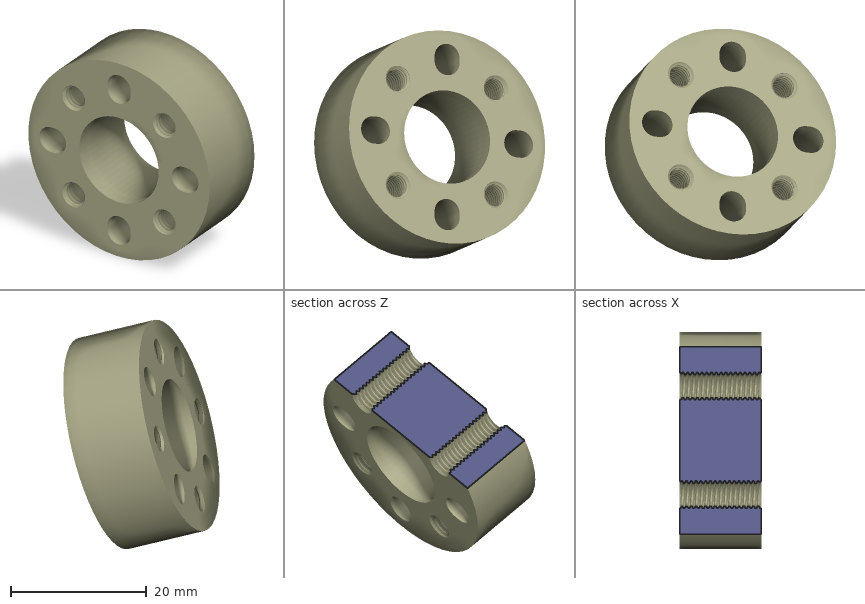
import cadquery as cq
outer_diameter = 31.95
thickness = 12.0
bore_diameter = 14.0

slot_count = 4
slot_width = 4.1
slot_length = 4.7
slot_circle_radius = 11.65

tapped_hole_count = 4
tapped_hole_spacing = 15.98
thread_major_diameter = 4.0
thread_minor_diameter = 3.3
thread_pitch = 0.7
thread_start_angle = 115.0
groove_mouth_width = thread_pitch * 3 / 4
groove_root_width = thread_pitch / 8
drill_overrun = 0.32
groove_overlap = 0.05
countersink_diameter = 4.03
sleeve_diameter = 4.8


def cylinder(diameter, length=thickness):
    """Cylinder along Y, centred on the origin."""
    return cq.Workplane("XZ", origin=(0, length / 2, 0)).circle(diameter / 2).extrude(length)


def make_slots():
    """Through slots, each with its long side along the radius."""
    return (
        cq.Workplane("XZ", origin=(0, thickness / 2, 0))
        .polarArray(slot_circle_radius, 0, 360, slot_count)
        .slot2D(slot_length, slot_width)
        .extrude(thickness)
    )


def make_thread_groove():
    """Right-hand helical groove along Y that runs one pitch past both faces."""
    minor_radius = thread_minor_diameter / 2
    major_radius = thread_major_diameter / 2
    flank_slope = (groove_mouth_width - groove_root_width) / (major_radius - minor_radius)
    inner_radius = minor_radius - groove_overlap
    inner_width = groove_mouth_width + groove_overlap * flank_slope
    length = thickness + 2 * thread_pitch

    section = [
        (inner_radius, -inner_width / 2),
        (major_radius, -groove_root_width / 2),
        (major_radius, groove_root_width / 2),
        (inner_radius, inner_width / 2),
    ]
    helices = []
    for radius, offset in section:
        start = cq.Vector(0, 0, offset - length / 2)
        helices.append(cq.Wire.makeHelix(thread_pitch, length, radius, center=start).Edges()[0])

    faces = []
    for helix, next_helix in zip(helices, helices[1:] + helices[:1]):
        faces.append(cq.Face.makeRuledSurface(helix, next_helix))
    start_corners = [helix.startPoint() for helix in helices]
    end_corners = [helix.endPoint() for helix in helices]
    for corners in (start_corners, end_corners):
        faces.append(cq.Face.makeFromWires(cq.Wire.makePolygon(corners, close=True)))

    groove = cq.Workplane(cq.Solid.makeSolid(cq.Shell.makeShell(faces)))
    groove = groove.rotate((0, 0, 0), (0, 0, 1), thread_start_angle)
    return groove.rotate((0, 0, 0), (1, 0, 0), 90)


def make_countersink(side):
    """45 degree cone at the face on the given side of the ring (+1 for +Y, -1 for -Y)."""
    face_radius = countersink_diameter / 2
    depth = (countersink_diameter - thread_minor_diameter) / 2
    cone = cq.Solid.makeCone(
        face_radius,
        face_radius - depth,
        depth,
        pnt=cq.Vector(0, side * thickness / 2, 0),
        dir=cq.Vector(0, -side, 0),
    )
    return cq.Workplane(cone)


def make_threaded_sleeve():
    """Cylinder with a countersunk thread running through it."""
    drill = cylinder(thread_minor_diameter, thickness + 2 * drill_overrun)
    sleeve = cylinder(sleeve_diameter)
    sleeve = sleeve.cut(make_thread_groove(), clean=False)
    sleeve = sleeve.cut(drill, clean=False)
    for side in (-1, 1):
        sleeve = sleeve.cut(make_countersink(side), clean=False)
    return sleeve


corner = (tapped_hole_spacing / 2, 0, tapped_hole_spacing / 2)
threaded_sleeve = make_threaded_sleeve().translate(corner)
sleeve_seat = cylinder(sleeve_diameter).translate(corner)

result = cylinder(outer_diameter).cut(cylinder(bore_diameter)).cut(make_slots())
for index in range(tapped_hole_count):
    turn = index * 360 / tapped_hole_count
    result = result.cut(sleeve_seat.rotate((0, 0, 0), (0, 1, 0), turn))
    result = result.union(threaded_sleeve.rotate((0, 0, 0), (0, 1, 0), turn))
result = result.clean()